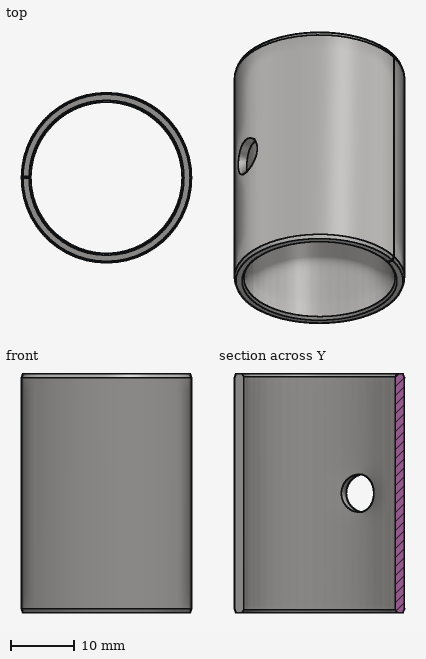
import cadquery as cq
import math

outer_diameter = 27.0
wall_thickness = 1.5
length = 38.0

outer_chamfer_length = 0.65
outer_chamfer_angle = 20.0

inner_chamfer_length = 0.5
inner_chamfer_depth = 0.3

seam_width = 0.2

oil_hole_diameter = 6.0
oil_hole_angle = 58.7

outer_radius = outer_diameter / 2
inner_radius = outer_radius - wall_thickness
outer_chamfer_depth = outer_chamfer_length * math.tan(math.radians(outer_chamfer_angle))


def make_sleeve():
    """Revolve the wall section, chamfered at all four corners, about Z."""
    section = [
        (inner_radius, inner_chamfer_length),
        (inner_radius + inner_chamfer_depth, 0),
        (outer_radius - outer_chamfer_depth, 0),
        (outer_radius, outer_chamfer_length),
        (outer_radius, length - outer_chamfer_length),
        (outer_radius - outer_chamfer_depth, length),
        (inner_radius + inner_chamfer_depth, length),
        (inner_radius, length - inner_chamfer_length),
    ]
    return cq.Workplane("XZ").polyline(section).close().revolve(360, (0, 0, 0), (0, 1, 0))


def make_seam_cutter():
    """Thin full-length slab reaching from the axis out through the -X wall."""
    return (
        cq.Workplane("XY")
        .box(outer_diameter, seam_width, length, centered=(True, False, False))
        .translate((-outer_radius, 0, 0))
    )


def make_oil_hole_cutter():
    """Radial cylinder reaching from the axis out through one wall."""
    return (
        cq.Workplane("YZ")
        .center(0, length / 2)
        .circle(oil_hole_diameter / 2)
        .extrude(outer_diameter)
        .rotate((0, 0, 0), (0, 0, 1), oil_hole_angle)
    )


result = make_sleeve().cut(make_seam_cutter()).cut(make_oil_hole_cutter())